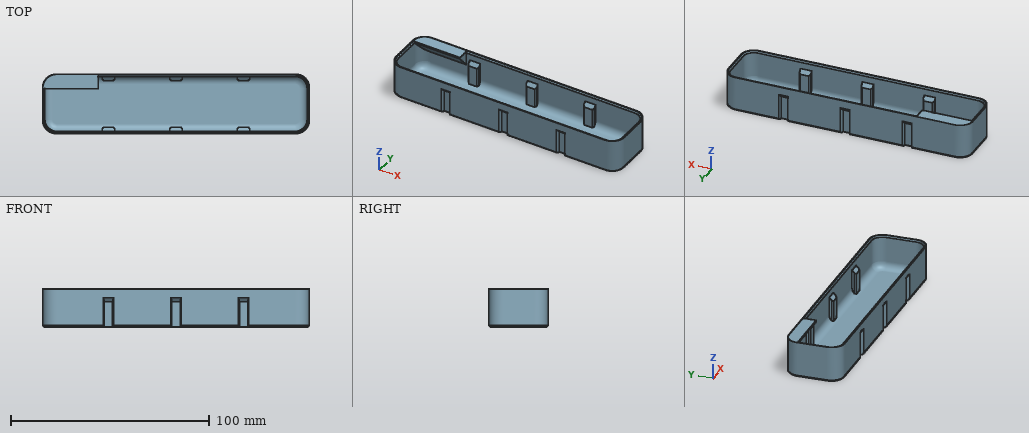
import cadquery as cq

length = 134.5
width = 30.0
height = 19.2
corner_radius = 7.0
foot_chamfer = 1.0

wall = 1.2
floor_thickness = wall
floor_fillet = 3.8
rim_land = 0.4

groove_pitch = 34.0
groove_columns = (-1, 0, 1)
groove_mouth = 5.1
groove_bed = 4.0
groove_depth = 2.2
groove_height = 14.8
rib_width = 6.2
rib_skin = 1.14
rib_depth = groove_depth + rib_skin
rib_tip_chamfer = 0.74
rib_height = groove_height + wall

shelf_length = 28.0
shelf_width = 7.3
shelf_lip = 0.8
shelf_underside_drop = 7.3


def rounded_block(inset, bottom, top):
    """Rounded rectangle offset inward from the tray outline, between two heights."""
    return (
        cq.Workplane("XY", origin=(0, 0, bottom))
        .rect(length - 2 * inset, width - 2 * inset)
        .extrude(top - bottom)
        .edges("|Z")
        .fillet(corner_radius - inset)
    )


def make_body():
    return rounded_block(0, 0, height).faces("<Z").edges().chamfer(foot_chamfer)


def make_cavity():
    """Pocket with a filleted floor and a 45 degree flared mouth that leaves a narrow land."""
    pocket = rounded_block(wall, floor_thickness, height).faces("<Z").edges().fillet(floor_fillet)
    flare = wall - rim_land
    mouth = rounded_block(rim_land, height - flare, height + flare).faces("<Z").edges().chamfer(flare)
    return pocket.union(mouth)


def make_wall_bar(x, half_outline, bottom, top):
    """Upright bar reaching in from the front face, its top falling 45 degrees toward the tip.

    half_outline lists (sideways, inward) points of one flank, from the front face to the tip.
    """
    front = -width / 2
    other_half = [(-sideways, inward) for sideways, inward in reversed(half_outline)]
    bar = (
        cq.Workplane("XY", origin=(x, front, bottom))
        .polyline(half_outline + other_half)
        .close()
        .extrude(top - bottom)
    )
    half_width = half_outline[0][0]
    depth = half_outline[-1][1]
    slope_waste = (
        cq.Workplane("YZ", origin=(x - half_width, front, 0))
        .moveTo(0, top)
        .lineTo(depth, top)
        .lineTo(depth, top - depth)
        .close()
        .extrude(2 * half_width)
    )
    return bar.cut(slope_waste)


def make_groove(x):
    """Groove narrowing evenly from its mouth to its bed."""
    half_outline = [(groove_mouth / 2, 0), (groove_bed / 2, groove_depth)]
    return make_wall_bar(x, half_outline, 0, groove_height)


def make_rib(x):
    """Straight-sided rib with chamfered tip corners."""
    half = rib_width / 2
    half_outline = [
        (half, 0),
        (half, rib_depth - rib_tip_chamfer),
        (half - rib_tip_chamfer, rib_depth),
    ]
    return make_wall_bar(x, half_outline, foot_chamfer, rib_height)


def make_shelf():
    """Flat-topped shelf with a thin front lip and an underside sloping down to the back wall."""
    front = width / 2 - shelf_width
    inner_wall = width / 2 - wall
    lip_bottom = height - shelf_lip
    shelf = (
        cq.Workplane("YZ", origin=(-length / 2, 0, 0))
        .moveTo(front, height)
        .lineTo(width / 2, height)
        .lineTo(width / 2, lip_bottom - shelf_underside_drop)
        .lineTo(inner_wall, lip_bottom - shelf_underside_drop)
        .lineTo(front, lip_bottom)
        .close()
        .extrude(shelf_length)
    )
    return shelf.intersect(rounded_block(0, 0, height))


result = make_body().cut(make_cavity()).union(make_shelf())
for column in groove_columns:
    x = column * groove_pitch
    rib = make_rib(x)
    groove = make_groove(x)
    result = result.union(rib).union(rib.mirror("XZ"))
    result = result.cut(groove).cut(groove.mirror("XZ"))